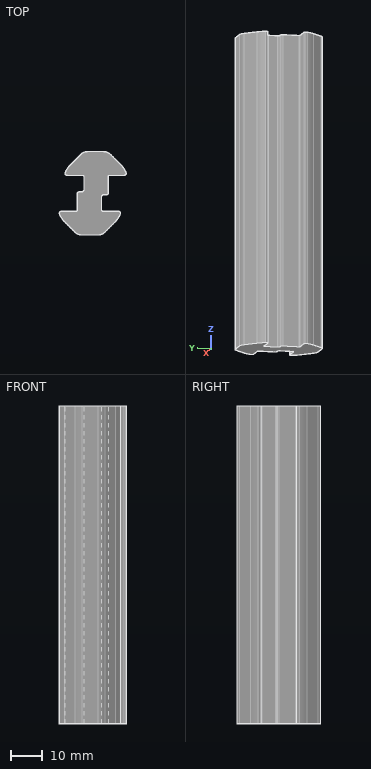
import cadquery as cq
import math

length = 100.0
depth = 26.3

head_shift = 0.9
underside_y = 5.6
crown_half_width = 3.8
flank_end_x = 8.0
side_radius = 7.5
crown_radius = 3.0
tip_radius = 0.7

neck_far_x = 4.9
neck_near_x = 2.8
step_y = 0.5
root_radius = 0.3
step_radius = 0.6

crown_y = depth / 2
flank_end_y = crown_y - (flank_end_x - crown_half_width)

side_center_x = flank_end_x - side_radius * math.cos(math.pi / 4)
side_center_y = flank_end_y - side_radius * math.sin(math.pi / 4)
tip_angle = math.asin((underside_y - side_center_y) / side_radius)


def side_point(angle):
    """Point on the right rounded side, relative to the head's centre line."""
    x = side_center_x + side_radius * math.cos(angle)
    y = side_center_y + side_radius * math.sin(angle)
    return x, y


tip_x = side_point(tip_angle)[0]
side_mid_x, side_mid_y = side_point((tip_angle + math.pi / 4) / 2)


def add_half_outline(outline, sign):
    """Outline one neck half and its head; sign -1 gives the half turned by 180 degrees."""

    def place(x, y):
        return sign * x, sign * y

    def on_head(x, y):
        return place(head_shift + x, y)

    outline = outline.lineTo(*place(neck_far_x, -step_y))
    outline = outline.lineTo(*place(neck_far_x, underside_y))
    outline = outline.lineTo(*on_head(tip_x, underside_y))
    outline = outline.threePointArc(on_head(side_mid_x, side_mid_y), on_head(flank_end_x, flank_end_y))
    outline = outline.lineTo(*on_head(crown_half_width, crown_y))
    outline = outline.lineTo(*on_head(-crown_half_width, crown_y))
    outline = outline.lineTo(*on_head(-flank_end_x, flank_end_y))
    outline = outline.threePointArc(on_head(-side_mid_x, side_mid_y), on_head(-tip_x, underside_y))
    outline = outline.lineTo(*place(-neck_near_x, underside_y))
    return outline.lineTo(*place(-neck_near_x, step_y))


def round_corners(body, corners, radius):
    """Round the lengthwise edges at the given corners and at their half-turn copies."""
    edges = cq.Workplane("XY")
    for x, y in corners:
        for sign in (1, -1):
            nearest = cq.selectors.NearestToPointSelector((sign * x, sign * y, length / 2))
            edges = edges.add(body.edges("|Z").edges(nearest))
    return cq.Workplane(body.val().fillet(radius, edges.vals()))


outline = cq.Workplane("XY").moveTo(neck_near_x, -step_y)
for half_sign in (1, -1):
    outline = add_half_outline(outline, half_sign)
body = outline.close().extrude(length)

corner_groups = [
    ([(head_shift + crown_half_width, crown_y), (head_shift - crown_half_width, crown_y)], crown_radius),
    ([(head_shift + tip_x, underside_y), (head_shift - tip_x, underside_y)], tip_radius),
    ([(neck_far_x, underside_y), (-neck_near_x, underside_y)], root_radius),
    ([(neck_far_x, -step_y), (neck_near_x, -step_y)], step_radius),
]
for corners, radius in corner_groups:
    body = round_corners(body, corners, radius)

result = body